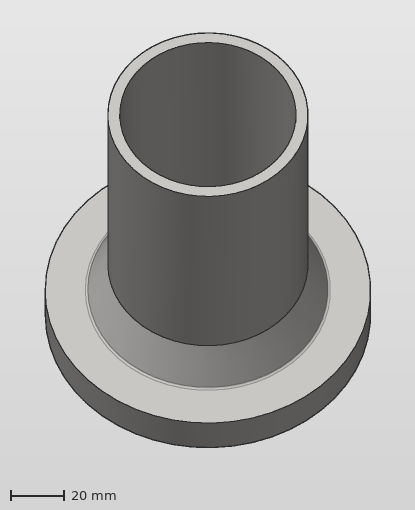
import cadquery as cq

total_height = 130.0
flange_diameter = 122.0
flange_thickness = 16.0
pipe_diameter = 75.0
bore_diameter = 66.0
hub_base_diameter = 90.5
hub_top_height = 33.0
root_fillet_radius = 1.0

flange_radius = flange_diameter / 2
pipe_radius = pipe_diameter / 2
bore_radius = bore_diameter / 2
hub_base_radius = hub_base_diameter / 2


def root_edge_selector():
    """Thin box around the circle where the hub cone meets the flange face."""
    margin = 0.6
    reach = hub_base_radius + margin
    return cq.selectors.BoxSelector(
        (-reach, -reach, flange_thickness - margin),
        (reach, reach, flange_thickness + margin),
        boundingbox=True,
    )


body = (
    cq.Workplane("XZ")
    .moveTo(bore_radius, 0)
    .lineTo(flange_radius, 0)
    .lineTo(flange_radius, flange_thickness)
    .lineTo(hub_base_radius, flange_thickness)
    .lineTo(pipe_radius, hub_top_height)
    .lineTo(pipe_radius, total_height)
    .lineTo(bore_radius, total_height)
    .close()
    .revolve(360, (0, 0, 0), (0, 1, 0))
)

result = body.edges(root_edge_selector()).fillet(root_fillet_radius)